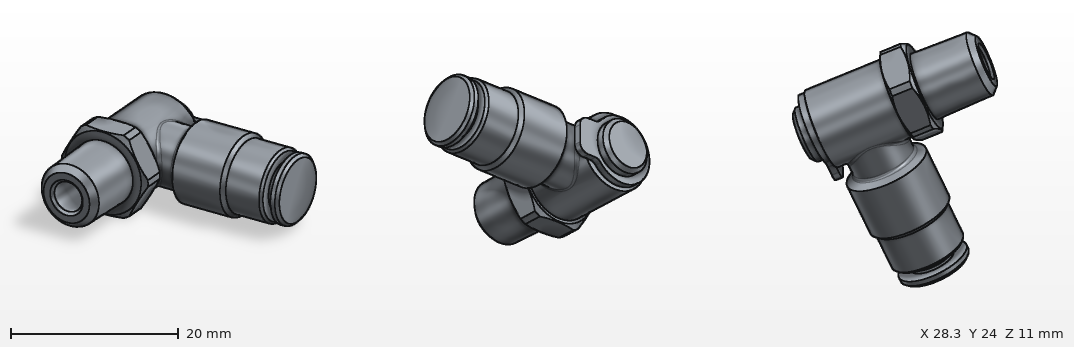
import cadquery as cq
import math

overall_length = 28.3

body_half_length = 5.0
cap_top_y = 7.47
clip_thickness = 0.93
hex_height = 3.45
stem_end_y = -16.53
hex_bottom_y = -body_half_length - hex_height

body_radius = 5.0
cap_radius = 3.5
cap_chamfer = 0.55
hex_across_flats = 11.0
hex_corner_radius = 6.1
hex_face_radius = 5.4
hex_chamfer_angle = 30.0
thread_top_radius = 4.25
thread_end_radius = 4.08
thread_chamfer = 0.82

bore_radius = 1.95
bore_chamfer = 0.37
bore_depth = 11.32
pilot_radius = 1.05
pilot_length = 1.13
drill_half_angle = 59.0

clip_radius = 4.41
clip_center_x = -0.37
ear_end_x = 6.28
ear_half_width = 2.43
ear_corner_radius = 1.27
ear_root_radius = 1.1

neck_radius = 4.0
neck_root_fillet = 0.45
neck_end_x = 7.02
neck_cone_angle = 60.0
neck_cone_fillet = 0.5
collar_radius = 5.24
collar_end_x = 14.5
sleeve_radius = 4.73
sleeve_end_x = 20.05
sleeve_chamfer = 0.35
groove_radius = 2.55
groove_entry_radius = 3.17
groove_start_x = 20.45
flange_radius = 4.5
flange_thickness = 1.02
flange_chamfer = 0.4
flange_root_chamfer = 0.25
tube_end_x = overall_length - hex_corner_radius

pick_margin = 0.28


def revolve_about_x(points):
    """Revolve a closed (x, radius) outline about the X axis."""
    return cq.Workplane("XY").polyline(points).close().revolve(360, (0, 0, 0), (1, 0, 0))


def revolve_about_y(points):
    """Revolve a closed (radius, y) outline about the Y axis."""
    return cq.Workplane("XY").polyline(points).close().revolve(360, (0, 0, 0), (0, 1, 0))


def y_prism_plane(start_y):
    """Sketch plane facing +Y whose local axes are X and -Z."""
    return cq.Workplane(cq.Plane(origin=(0, start_y, 0), xDir=(1, 0, 0), normal=(0, 1, 0)))


def make_body():
    return y_prism_plane(-body_half_length).circle(body_radius).extrude(2 * body_half_length)


def make_neck():
    return cq.Workplane("YZ").circle(neck_radius).extrude(neck_end_x)


def make_elbow():
    """Body and neck joined, with a fillet along their saddle-shaped intersection."""
    elbow = make_body().union(make_neck())
    saddle_zone = cq.selectors.BoxSelector(
        (pick_margin, -neck_radius, -neck_radius),
        (body_radius - pick_margin, neck_radius, neck_radius),
    )
    return elbow.edges(saddle_zone).fillet(neck_root_fillet)


def make_cap():
    base_y = body_half_length
    cap = y_prism_plane(base_y).circle(cap_radius).extrude(cap_top_y - base_y)
    return cap.faces(">Y").chamfer(cap_chamfer)


def make_clip():
    disc = y_prism_plane(body_half_length).center(clip_center_x, 0)
    disc = disc.circle(clip_radius).extrude(clip_thickness)
    ear = y_prism_plane(body_half_length).center(ear_end_x / 2, 0)
    ear = ear.rect(ear_end_x, 2 * ear_half_width).extrude(clip_thickness)
    ear = ear.edges("|Y and >X").fillet(ear_corner_radius)
    root_x = clip_center_x + math.sqrt(clip_radius**2 - ear_half_width**2)
    root_zone = cq.selectors.BoxSelector(
        (root_x - pick_margin, body_half_length, -ear_half_width - pick_margin),
        (root_x + pick_margin, body_half_length + clip_thickness, ear_half_width + pick_margin),
    )
    return disc.union(ear).edges("|Y").edges(root_zone).fillet(ear_root_radius)


def make_hex():
    """Hexagon with corners on the X axis, rounded corners and chamfered ends."""
    across_corners = hex_across_flats / math.cos(math.pi / 6)
    hexagon = y_prism_plane(hex_bottom_y).polygon(6, across_corners).extrude(hex_height)
    chamfer_height = (hex_corner_radius - hex_face_radius) * math.tan(math.radians(hex_chamfer_angle))
    turned_blank = revolve_about_y([
        (0, hex_bottom_y),
        (hex_face_radius, hex_bottom_y),
        (hex_corner_radius, hex_bottom_y + chamfer_height),
        (hex_corner_radius, -body_half_length - chamfer_height),
        (hex_face_radius, -body_half_length),
        (0, -body_half_length),
    ])
    return hexagon.intersect(turned_blank)


def make_thread():
    return revolve_about_y([
        (0, hex_bottom_y),
        (thread_top_radius, hex_bottom_y),
        (thread_end_radius, stem_end_y + thread_chamfer),
        (thread_end_radius - thread_chamfer, stem_end_y),
        (0, stem_end_y),
    ])


def make_bore():
    """Bore with a chamfered mouth, a drill cone and a shorter pilot hole at its bottom."""
    depth_per_radius = 1 / math.tan(math.radians(drill_half_angle))
    bore_bottom_y = stem_end_y + bore_depth
    pilot_start_y = bore_bottom_y + (bore_radius - pilot_radius) * depth_per_radius
    pilot_bottom_y = pilot_start_y + pilot_length
    return revolve_about_y([
        (0, stem_end_y),
        (bore_radius + bore_chamfer, stem_end_y),
        (bore_radius, stem_end_y + bore_chamfer),
        (bore_radius, bore_bottom_y),
        (pilot_radius, pilot_start_y),
        (pilot_radius, pilot_bottom_y),
        (0, pilot_bottom_y + pilot_radius * depth_per_radius),
    ])


def make_collar():
    """Turned collar and sleeve, with a fillet where the entry cone leaves the neck."""
    cone_length = (collar_radius - neck_radius) / math.tan(math.radians(neck_cone_angle))
    shoulder = collar_radius - sleeve_radius
    tangent_length = neck_cone_fillet * math.tan(math.radians(neck_cone_angle / 2))
    fillet_start_x = neck_end_x - tangent_length
    collar = revolve_about_x([
        (fillet_start_x - neck_cone_fillet, 0),
        (fillet_start_x - neck_cone_fillet, neck_radius),
        (neck_end_x, neck_radius),
        (neck_end_x + cone_length, collar_radius),
        (collar_end_x, collar_radius),
        (collar_end_x + shoulder, sleeve_radius),
        (sleeve_end_x - sleeve_chamfer, sleeve_radius),
        (sleeve_end_x, sleeve_radius - sleeve_chamfer),
        (sleeve_end_x, 0),
    ])
    cone_root_zone = cq.selectors.BoxSelector(
        (neck_end_x - pick_margin, -collar_radius, -collar_radius),
        (neck_end_x + pick_margin, collar_radius, collar_radius),
    )
    return collar.edges(cone_root_zone).fillet(neck_cone_fillet)


def make_release_ring():
    """Grooved end piece with the flange that is pushed to release the tube."""
    flange_start_x = tube_end_x - flange_thickness
    return revolve_about_x([
        (sleeve_end_x, 0),
        (sleeve_end_x, groove_entry_radius),
        (groove_start_x, groove_radius),
        (flange_start_x - flange_root_chamfer, groove_radius),
        (flange_start_x, groove_radius + flange_root_chamfer),
        (flange_start_x, flange_radius),
        (tube_end_x - flange_chamfer, flange_radius),
        (tube_end_x, flange_radius - flange_chamfer),
        (tube_end_x, 0),
    ])


result = make_elbow()
for piece in (make_cap(), make_clip(), make_hex(), make_thread(), make_collar(), make_release_ring()):
    result = result.union(piece)
result = result.cut(make_bore())